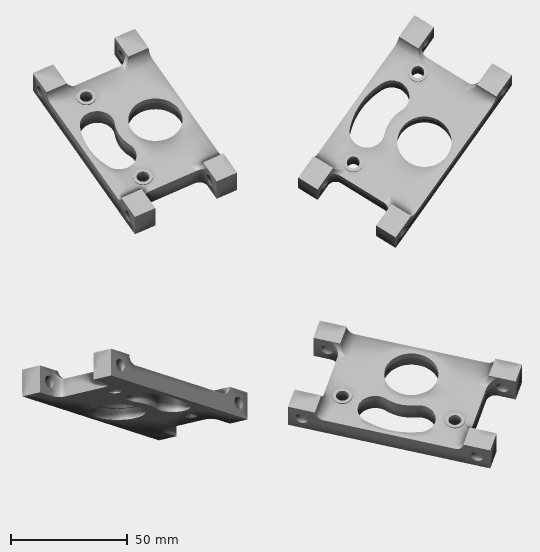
import cadquery as cq
import math

length = 90.0
width = 50.0
height = 12.0
floor_height = 8.0

foot_length = 12.0
foot_width = 10.0
cove_radius = height - floor_height
gap_cove_radius = 4.05
foot_hole_diameter = 5.5
foot_hole_inset = 6.0
foot_hole_height = height / 2

bore_y = 10.0
bore_diameter = 23.2
relief_diameter = 24.2
lip_depth = 3.0

slot_path_radius = 25.0
slot_width = 15.0
slot_half_angle = 22.5

ring_x = 25.0
ring_y = -10.0
ring_diameter = 8.5
ring_hole_diameter = 5.5
ring_height = 0.5

body_half_length = length / 2 - foot_length
gap_half_width = width / 2 - foot_width


def make_body():
    """H-shaped block with rounded inner corners beside the feet."""
    body = cq.Workplane("XY").box(length, width, height, centered=(True, True, False))
    for side in (-1, 1):
        notch = (
            cq.Workplane("XY")
            .center(side * length / 2, 0)
            .rect(2 * foot_length, 2 * gap_half_width)
            .extrude(height)
            .edges("|Z")
            .fillet(gap_cove_radius)
        )
        body = body.cut(notch)
    return body


def make_trough(plane, half_width, radius, run):
    """Flat-bottomed channel whose sides rise as quarter-round coves."""
    flat_half = half_width - radius
    bend = radius * math.sqrt(0.5)
    top = floor_height + radius
    return (
        cq.Workplane(plane)
        .moveTo(-half_width, top)
        .threePointArc((-flat_half - bend, top - bend), (-flat_half, floor_height))
        .lineTo(flat_half, floor_height)
        .threePointArc((flat_half + bend, top - bend), (half_width, top))
        .close()
        .extrude(run / 2, both=True)
    )


def make_bore():
    """Stepped through bore with the narrower lip on top."""
    start = cq.Workplane("XY").center(0, bore_y)
    lip = start.circle(bore_diameter / 2).extrude(floor_height)
    relief = start.circle(relief_diameter / 2).extrude(floor_height - lip_depth)
    return lip.union(relief)


def make_slot():
    """Round-ended slot following an arc about the bore axis."""
    inner = slot_path_radius - slot_width / 2
    outer = slot_path_radius + slot_width / 2

    def at(radius, angle):
        turn = math.radians(angle)
        return (radius * math.sin(turn), -radius * math.cos(turn))

    def end_cap(side):
        path_x, path_y = at(slot_path_radius, side * slot_half_angle)
        cap_radius = slot_width / 2
        turn = math.radians(slot_half_angle)
        return (path_x + side * cap_radius * math.cos(turn), path_y + cap_radius * math.sin(turn))

    return (
        cq.Workplane("XY")
        .center(0, bore_y)
        .moveTo(*at(inner, -slot_half_angle))
        .threePointArc(at(inner, 0), at(inner, slot_half_angle))
        .threePointArc(end_cap(1), at(outer, slot_half_angle))
        .threePointArc(at(outer, 0), at(outer, -slot_half_angle))
        .threePointArc(end_cap(-1), at(inner, -slot_half_angle))
        .close()
        .extrude(floor_height)
    )


def ring_cylinder(diameter):
    """Pair of upright cylinders at the ring positions."""
    return (
        cq.Workplane("XY")
        .pushPoints([(-ring_x, ring_y), (ring_x, ring_y)])
        .circle(diameter / 2)
        .extrude(floor_height + ring_height)
    )


def make_foot_holes():
    """Holes running along Y through the feet at both ends."""
    hole_x = length / 2 - foot_hole_inset
    return (
        cq.Workplane("XZ")
        .pushPoints([(-hole_x, foot_hole_height), (hole_x, foot_hole_height)])
        .circle(foot_hole_diameter / 2)
        .extrude(width / 2, both=True)
    )


result = (
    make_body()
    .cut(make_trough("XZ", body_half_length, cove_radius, width))
    .cut(make_trough("YZ", gap_half_width, gap_cove_radius, length))
    .union(ring_cylinder(ring_diameter))
    .cut(ring_cylinder(ring_hole_diameter))
    .cut(make_bore())
    .cut(make_slot())
    .cut(make_foot_holes())
)